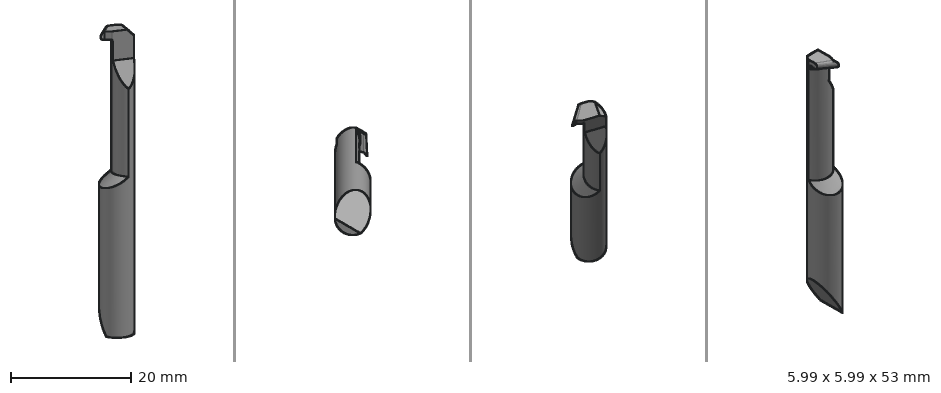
import cadquery as cq
import math

length = 53.0
bar_radius = 2.995
steepness = math.tan(math.radians(60))

foot_start_x = 1.65

neck_base_z = 28.1
neck_radius = 3.05
neck_front_y = -0.8
neck_center_y = neck_front_y + neck_radius
shoulder_drop = 2.65

flat_x = 0.25
flat_base_z = 47.85

head_base_z = 51.65
flare_height = 0.6
flare_width = 0.2
heel_x = -2.8
heel_front_y = -0.95
back_chamfer = 1.15
nose_radius = 0.75
heel_radius = 0.6
nose_bottom_z = length - 2 * nose_radius

groove_depth = 0.35
groove_deepest_y = -2.1


def cylinder(radius, center_y, bottom, top):
    return cq.Workplane("XY", origin=(0, center_y, bottom)).circle(radius).extrude(top - bottom)


def cone(bottom_radius, top_radius, bottom, top):
    profile = [(0, bottom), (bottom_radius, bottom), (top_radius, top), (0, top)]
    turned = cq.Workplane("XZ").polyline(profile).close().revolve(360, (0, 0), (0, 1))
    return turned.translate((0, neck_center_y, 0))


def make_bar_and_neck():
    bar = cylinder(bar_radius, 0, 0, length)
    lower_bar = cylinder(bar_radius, 0, 0, neck_base_z - shoulder_drop)
    shoulder = cone(neck_radius + shoulder_drop, neck_radius, neck_base_z - shoulder_drop, neck_base_z)
    neck = cylinder(neck_radius, neck_center_y, neck_base_z, length)
    flare = cone(neck_radius, neck_radius + flare_width, head_base_z - flare_height, head_base_z)
    return lower_bar.union(bar.intersect(shoulder.union(neck).union(flare)))


def round_ended_profile(plane, tip_y, radius):
    """Flat-sided strip below the top face, ending in a half circle at tip_y."""
    center_y = tip_y + radius
    return (
        plane.moveTo(neck_center_y, length - 2 * radius)
        .lineTo(center_y, length - 2 * radius)
        .threePointArc((tip_y, length - radius), (center_y, length))
        .lineTo(neck_center_y, length)
        .close()
    )


def make_nose():
    """Rounded cutting nose that narrows back to a blunt heel for clearance."""
    cutting_end = round_ended_profile(cq.Workplane("YZ", origin=(flat_x, 0, 0)), -bar_radius, nose_radius)
    heel_plane = cutting_end.workplane(offset=heel_x - flat_x)
    nose = round_ended_profile(heel_plane, heel_front_y, heel_radius).loft(ruled=True)
    return nose.intersect(cylinder(bar_radius, 0, nose_bottom_z, length))


def cut_side_flat(body):
    slope_z = flat_base_z - (bar_radius - flat_x) * steepness
    outline = [(flat_x, length), (flat_x, flat_base_z), (bar_radius, slope_z), (bar_radius, length)]
    cutter = cq.Workplane("XZ").polyline(outline).close().extrude(bar_radius, both=True)
    return body.cut(cutter)


def cut_foot(body):
    slope_z = (foot_start_x + bar_radius) * steepness
    outline = [(-bar_radius, 0), (foot_start_x, 0), (-bar_radius, slope_z)]
    return body.cut(cq.Workplane("XZ").polyline(outline).close().extrude(bar_radius, both=True))


def cut_back_chamfer(body):
    outline = [
        (bar_radius, length),
        (bar_radius - back_chamfer, length),
        (bar_radius, length - back_chamfer),
    ]
    return body.cut(cq.Workplane("YZ").polyline(outline).close().extrude(bar_radius, both=True))


def cut_groove(body):
    outline = [(flat_x, heel_front_y), (flat_x - groove_depth, groove_deepest_y), (flat_x, -bar_radius)]
    groove = (
        cq.Workplane("XY", origin=(0, 0, nose_bottom_z))
        .polyline(outline)
        .close()
        .extrude(length - nose_bottom_z)
    )
    return body.cut(groove)


result = make_bar_and_neck().union(make_nose())
result = cut_side_flat(result)
result = cut_foot(result)
result = cut_back_chamfer(result)
result = cut_groove(result)